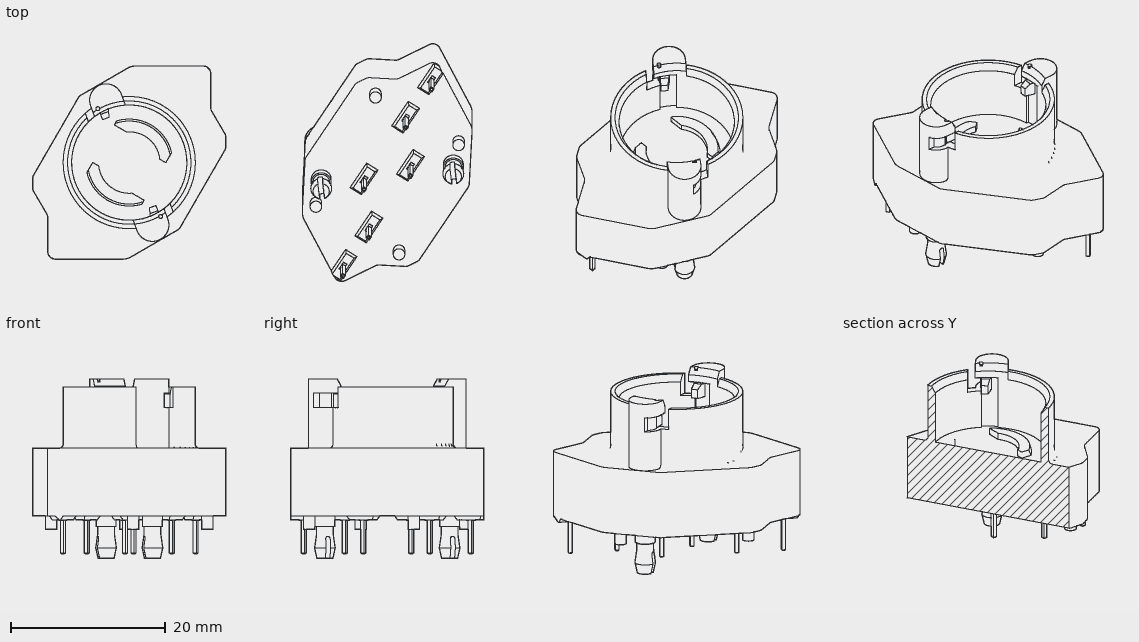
import cadquery as cq

housing_height = 8.78
ring_height = 7.92
post_rise = 1.02
ring_top = housing_height + ring_height
post_top = ring_top + post_rise
floor_z = housing_height

half_size = 12.5
ear_half_width = 10.55
ear_root_y = 6.85
tip_upper_y = 3.52
tip_lower_y = 1.82
shoulder_x = 0.28
flank_corner = (6.48, -8.6)
corner_radius = 1
shoulder_radius = 2

ring_radius = 8.55
bore_radius = 7.45
lead_in_width = 0.52
lead_in_depth = 0.92
ring_root_radius = 0.5

post_angles = (110.4, 290.4)
post_center = 8.6
post_radius = 2.12
dimple_radius = 0.25
dimple_depth = 0.38
dimple_place = (7.95, 1.38)

slot_top = post_top - 1.85
slot_height = 1.88
slot_floor = slot_top - slot_height
slot_back = 0.95
slot_end = 3.1
slot_inner = 6.5
slot_outer = 11.25
core_radius = 1.48
core_inner = 8.25
recess_radius = 7.75
recess_sides = (-0.85, 1.3)

nose_tip = 6.4
nose_slope_start = 7.12
nose_drop = 0.6
nose_gap = 0.1
nose_near_side = 1.3
nose_far_side = 0.05
nose_far_side_at_tip = 0.4

arc_height = 0.88
arc_outer_radius = 5.62
arc_outer_top_radius = 5.38
arc_inner_radius = 3.98
arc_half_span = 4.1
arc_high_end = 3.25
arc_low_end = 2.35

row_angle = 60
row_offset = 2.02
pin_stations = (-2.4, 7.5, 13.65)
pin_width = 0.5
pin_length = 4.9
pin_tip_chamfer = 0.12
pad_length = 3.4
pad_width = 1.2
pad_height = 0.5
pad_flare = 0.28
collar_length = 1.05
collar_height = 0.1
standoff_places = ((10.1, 3.45), (-0.5, 10.1))
standoff_diameter = 1.5
standoff_length = 1.75

peg_length = 5.48
peg_collar_diameter = 2.6
peg_collar_length = 1.38
peg_neck_diameter = 2.2
peg_neck_end = 2.4
peg_barb_diameter = 2.7
peg_barb_depth = 4.12
peg_tip_diameter = 2.1
peg_slot_width = 0.62
peg_slot_start = 2.65


def turned(shape, angle):
    return shape.rotate((0, 0, 0), (0, 0, 1), angle)


def with_half_turn(shape):
    return shape.union(turned(shape, 180))


def block(x_range, y_range, z_range):
    size = [high - low for low, high in (x_range, y_range, z_range)]
    corner = (x_range[0], y_range[0], z_range[0])
    return cq.Workplane("XY").box(*size, centered=False).translate(corner)


def disc(radius, bottom, height, center=(0, 0)):
    return cq.Workplane("XY", origin=(center[0], center[1], bottom)).circle(radius).extrude(height)


def revolved(profile):
    return cq.Workplane("XZ").polyline(profile).close().revolve(360, (0, 0, 0), (0, 1, 0))


def housing_block(bottom, top):
    """Slab with the housing outline between two levels."""
    half_outline = [
        (shoulder_x, half_size),
        (ear_half_width, half_size),
        (ear_half_width, ear_root_y),
        (half_size, tip_upper_y),
        (half_size, tip_lower_y),
        flank_corner,
    ]
    middle = (bottom + top) / 2
    outline = half_outline + [(-x, -y) for x, y in half_outline]
    body = cq.Workplane("XY", origin=(0, 0, bottom)).polyline(outline).close().extrude(top - bottom)
    for side in (1, -1):
        corner = (side * shoulder_x, side * half_size, middle)
        body = body.edges(cq.NearestToPointSelector(corner)).fillet(shoulder_radius)
    for side in (1, -1):
        for x, y in half_outline[1:]:
            corner = (side * x, side * y, middle)
            body = body.edges(cq.NearestToPointSelector(corner)).fillet(corner_radius)
    return body


def lead_in(top):
    """Cone that widens the mouth of the bore, ending at the given level."""
    return revolved([
        (0, top - lead_in_depth),
        (bore_radius, top - lead_in_depth),
        (bore_radius + lead_in_width, top),
        (0, top),
    ])


def ring_blank():
    return (
        cq.Workplane("XZ")
        .moveTo(0, floor_z)
        .lineTo(ring_radius + ring_root_radius, floor_z)
        .radiusArc((ring_radius, floor_z + ring_root_radius), ring_root_radius)
        .lineTo(ring_radius, ring_top)
        .lineTo(0, ring_top)
        .close()
        .revolve(360, (0, 0, 0), (0, 1, 0))
    )


def post_blank():
    sides = (-post_radius, post_radius)
    shape = disc(post_radius, floor_z, post_top - floor_z, (post_center, 0))
    return shape.union(block((slot_inner, post_center), sides, (floor_z, post_top)))


def dimple():
    return disc(dimple_radius, post_top - dimple_depth, dimple_depth, dimple_place)


def post_cut():
    """Slot around the post core, the notch beside it and the recess in the bore below it."""
    slot_levels = (slot_floor, slot_top)
    core = disc(core_radius, slot_floor, slot_height, (post_center, 0))
    core = core.union(block((core_inner, post_center), (0, core_radius), slot_levels))
    slot = block((slot_inner, slot_outer), (slot_back, slot_end), slot_levels).cut(core)
    notch = block((slot_inner, post_center), (post_radius, slot_end), (slot_floor, ring_top))
    recess_limits = block((slot_inner, slot_outer), recess_sides, (floor_z, slot_top))
    recess = disc(recess_radius, floor_z, slot_top - floor_z).intersect(recess_limits)
    return slot.union(notch).union(recess)


def latch_nose():
    """Catch that reaches into the bore, with a sloped top and a slanted far side."""
    top = slot_top - nose_gap
    profile = [
        (nose_tip, slot_floor),
        (core_inner, slot_floor),
        (core_inner, top),
        (nose_slope_start, top),
        (nose_tip, top - nose_drop),
    ]
    plan = [
        (nose_tip, nose_near_side),
        (core_inner, nose_near_side),
        (core_inner, nose_far_side),
        (recess_radius, nose_far_side),
        (nose_tip, nose_far_side_at_tip),
    ]
    prism = cq.Workplane("XZ").polyline(profile).close().extrude(-nose_near_side)
    outline = cq.Workplane("XY", origin=(0, 0, slot_floor)).polyline(plan).close()
    return prism.intersect(outline.extrude(slot_height))


def socket():
    """Ring and posts around one bore; the lead-in steps up to the top of each post."""
    shape = ring_blank()
    ring_lead_in = lead_in(ring_top)
    for angle in post_angles:
        blank = turned(post_blank(), angle)
        shape = shape.union(blank)
        ring_lead_in = ring_lead_in.cut(blank)
    shape = shape.cut(disc(bore_radius, floor_z, post_top - floor_z))
    shape = shape.cut(ring_lead_in).cut(lead_in(post_top))
    for angle in post_angles:
        shape = shape.cut(turned(dimple(), angle))
        shape = shape.cut(turned(post_cut(), angle))
        shape = shape.union(turned(latch_nose(), angle))
    return shape


def floor_arc():
    """Raised arc with a sloped outer wall, modelled with the pin rows along +X."""
    top = floor_z + arc_height
    whole = revolved([
        (arc_inner_radius, floor_z),
        (arc_outer_radius, floor_z),
        (arc_outer_top_radius, top),
        (arc_inner_radius, top),
    ])
    levels = (floor_z, top)
    keep = block((arc_high_end, arc_outer_radius), (0, arc_half_span), levels)
    keep = keep.union(block((arc_low_end, arc_outer_radius), (-arc_half_span, 0), levels))
    return turned(whole.intersect(keep), row_angle)


def on_pin_row(shape, station):
    """Moves a shape built at the origin, lengthwise along X, to a place on a pin row."""
    return turned(shape.translate((station, -row_offset, 0)), row_angle)


def pad():
    """Block with flared sides that carries one pin."""
    return (
        cq.Workplane("XY")
        .rect(pad_length + 2 * pad_flare, pad_width + 2 * pad_flare)
        .workplane(offset=-pad_height)
        .rect(pad_length, pad_width)
        .loft(ruled=True)
    )


def pin():
    """Square pin with a small collar below its pad."""
    collar = cq.Workplane("XY").rect(collar_length, pin_width).extrude(-pad_height - collar_height)
    shaft = cq.Workplane("XY").rect(pin_width, pin_width).extrude(-pin_length)
    return collar.union(shaft.faces("<Z").chamfer(pin_tip_chamfer))


def standoff(place):
    return disc(standoff_diameter / 2, -standoff_length, standoff_length, place)


def peg():
    """Barbed peg below a post, split by a round-ended slot across the post's radial line."""
    shape = revolved([
        (0, 0),
        (peg_collar_diameter / 2, 0),
        (peg_collar_diameter / 2, -peg_collar_length),
        (peg_neck_diameter / 2, -peg_collar_length),
        (peg_neck_diameter / 2, -peg_neck_end),
        (peg_barb_diameter / 2, -peg_barb_depth),
        (peg_tip_diameter / 2, -peg_length),
        (0, -peg_length),
    ])
    half_width = peg_slot_width / 2
    arc_start = -peg_slot_start - half_width
    split = (
        cq.Workplane("XZ")
        .moveTo(-half_width, -peg_length)
        .lineTo(-half_width, arc_start)
        .threePointArc((0, -peg_slot_start), (half_width, arc_start))
        .lineTo(half_width, -peg_length)
        .close()
        .extrude(peg_barb_diameter, both=True)
    )
    return shape.cut(split).translate((post_center, 0, 0))


result = housing_block(0, housing_height).union(socket()).union(with_half_turn(floor_arc()))
for angle in post_angles:
    result = result.union(turned(peg(), angle))

pad_limit = housing_block(-pad_height, 0)
for station in pin_stations:
    trimmed_pad = on_pin_row(pad(), station).intersect(pad_limit)
    result = result.union(with_half_turn(trimmed_pad))
    result = result.union(with_half_turn(on_pin_row(pin(), station)))
for place in standoff_places:
    result = result.union(with_half_turn(standoff(place)))